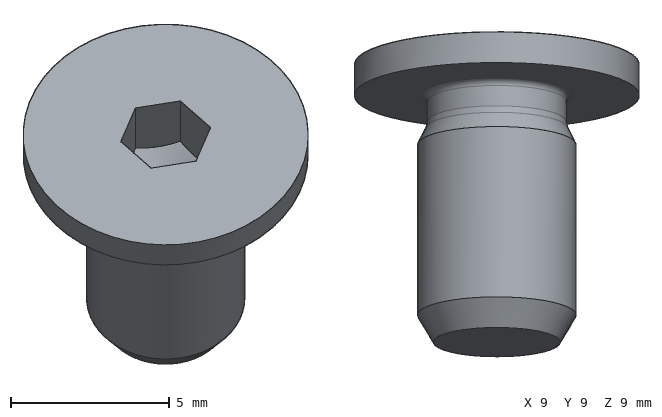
import cadquery as cq
import math

total_length = 9.0
head_radius = 4.5
head_thickness = 1.0

shank_radius = 2.5
neck_radius = 2.2
tip_radius = 2.0
tip_angle = math.radians(60)
neck_cone_angle = math.radians(64)
shank_top = 6.4
neck_fillet = 0.2
cone_blend_radius = 0.5

socket_across_flats = 2.5
socket_depth = 2.0
drill_tip_angle = math.radians(120)

head_bottom = total_length - head_thickness
tip_height = (shank_radius - tip_radius) * math.tan(tip_angle)
neck_bottom = shank_top + (shank_radius - neck_radius) * math.tan(neck_cone_angle)


def make_body():
    """Revolve the head, neck, shank and tip about the Z axis."""
    body = (
        cq.Workplane("XZ")
        .moveTo(0, 0)
        .lineTo(tip_radius, 0)
        .lineTo(shank_radius, tip_height)
        .lineTo(shank_radius, shank_top)
        .lineTo(neck_radius, neck_bottom)
        .lineTo(neck_radius, head_bottom - neck_fillet)
        .tangentArcPoint((neck_radius + neck_fillet, head_bottom), relative=False)
        .lineTo(head_radius, head_bottom)
        .lineTo(head_radius, total_length)
        .lineTo(0, total_length)
        .close()
        .revolve(360, (0, 0, 0), (0, 1, 0))
    )
    cone_to_neck = cq.selectors.NearestToPointSelector((0, 0, neck_bottom))
    return body.edges(cone_to_neck).fillet(cone_blend_radius)


def make_socket():
    """Hexagonal prism with corners on the X axis, ending in a cone."""
    across_corners = socket_across_flats / math.cos(math.pi / 6)
    corner_radius = across_corners / 2
    cone_depth = corner_radius / math.tan(drill_tip_angle / 2)
    socket_bottom = total_length - socket_depth
    prism = (
        cq.Workplane("XY", origin=(0, 0, socket_bottom - cone_depth))
        .polygon(6, across_corners)
        .extrude(socket_depth + cone_depth)
    )
    drilled_shape = (
        cq.Workplane("XZ")
        .moveTo(0, socket_bottom - cone_depth)
        .lineTo(corner_radius, socket_bottom)
        .lineTo(corner_radius, total_length)
        .lineTo(0, total_length)
        .close()
        .revolve(360, (0, 0, 0), (0, 1, 0))
    )
    return prism.intersect(drilled_shape)


result = make_body().cut(make_socket())